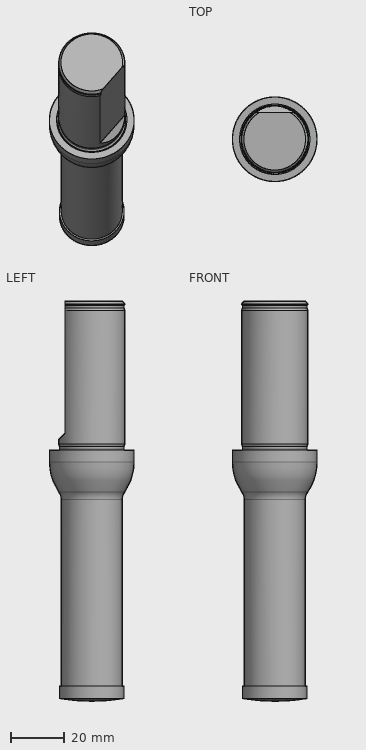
import cadquery as cq
import math

total_length = 151.0

head_radius = 24.5 / 2
head_top_z = 5.7
tip_crown_height = 1.0

neck_radius = 23.1 / 2
collar_radius = 32.0 / 2
collar_top_z = 94.8
collar_band_height = 4.5
flare_radius = 20.0
throat_radius = 5.0

shank_radius = 25.0 / 2
end_chamfer_width = 0.9
end_chamfer_height = 1.0
ring_land = 0.3
ring_groove_depth = 0.3
ring_groove_floor = 0.9
ring_groove_runout = 0.9

undercut_radius = 24.5 / 2
undercut_height = 1.4
undercut_runout = 0.9
undercut_fillet = 0.6
recess_radius = 13.3
recess_depth = 0.3

flat_y = 10.1
flat_length = 49.8


def make_head():
    """Cutting head: a short cylinder with a shallow crowned tip."""
    crown_radius = (head_radius**2 + tip_crown_height**2) / (2 * tip_crown_height)
    half_angle = math.asin(head_radius / crown_radius) / 2
    crown_middle = (crown_radius * math.sin(half_angle), crown_radius * (1 - math.cos(half_angle)))

    return (
        cq.Workplane("XZ")
        .moveTo(0, 0)
        .threePointArc(crown_middle, (head_radius, tip_crown_height))
        .lineTo(head_radius, head_top_z)
        .lineTo(0, head_top_z)
        .close()
        .revolve(360, (0, 0), (0, 1))
    )


def make_turned_holder():
    """Neck, flared collar and shank as one turned profile."""
    radii_sum = flare_radius + throat_radius
    flare_angle = math.acos(1 - (collar_radius - neck_radius) / radii_sum)
    band_bottom_z = collar_top_z - collar_band_height
    throat_bottom_z = band_bottom_z - radii_sum * math.sin(flare_angle)
    flare_center_r = collar_radius - flare_radius
    throat_center_r = neck_radius + throat_radius

    def flare_point(angle):
        return (
            flare_center_r + flare_radius * math.cos(angle),
            band_bottom_z - flare_radius * math.sin(angle),
        )

    def throat_point(angle):
        return (
            throat_center_r - throat_radius * math.cos(angle),
            throat_bottom_z + throat_radius * math.sin(angle),
        )

    undercut_top_z = collar_top_z + undercut_height
    recess_floor_z = collar_top_z - recess_depth
    fillet_offset = undercut_fillet * (1 - math.sqrt(0.5))
    fillet_middle = (undercut_radius + fillet_offset, recess_floor_z + fillet_offset)
    land_top_z = total_length - end_chamfer_height
    groove_top_z = land_top_z - ring_land
    groove_floor_top_z = groove_top_z - ring_groove_depth
    groove_floor_bottom_z = groove_floor_top_z - ring_groove_floor
    groove_radius = shank_radius - ring_groove_depth

    return (
        cq.Workplane("XZ")
        .moveTo(0, head_top_z)
        .lineTo(neck_radius, head_top_z)
        .lineTo(neck_radius, throat_bottom_z)
        .threePointArc(throat_point(flare_angle / 2), throat_point(flare_angle))
        .threePointArc(flare_point(flare_angle / 2), (collar_radius, band_bottom_z))
        .lineTo(collar_radius, collar_top_z)
        .lineTo(recess_radius, collar_top_z)
        .lineTo(undercut_radius + undercut_fillet, recess_floor_z)
        .threePointArc(fillet_middle, (undercut_radius, recess_floor_z + undercut_fillet))
        .lineTo(undercut_radius, undercut_top_z)
        .lineTo(shank_radius, undercut_top_z + undercut_runout)
        .lineTo(shank_radius, groove_floor_bottom_z - ring_groove_runout)
        .lineTo(groove_radius, groove_floor_bottom_z)
        .lineTo(groove_radius, groove_floor_top_z)
        .lineTo(shank_radius, groove_top_z)
        .lineTo(shank_radius, land_top_z)
        .lineTo(shank_radius - end_chamfer_width, total_length)
        .lineTo(0, total_length)
        .close()
        .revolve(360, (0, 0), (0, 1))
    )


def make_flat_cutter():
    """Prism that removes the clamping flat and its sloped run-out."""
    flat_bottom_z = total_length - flat_length
    runout = collar_radius - flat_y
    return (
        cq.Workplane("YZ")
        .moveTo(flat_y, total_length)
        .lineTo(flat_y, flat_bottom_z)
        .lineTo(flat_y + runout, flat_bottom_z - runout)
        .lineTo(flat_y + runout, total_length)
        .close()
        .extrude(shank_radius, both=True)
    )


head = make_head()
holder = make_turned_holder().cut(make_flat_cutter())

result = cq.Compound.makeCompound([head.val(), holder.val()])